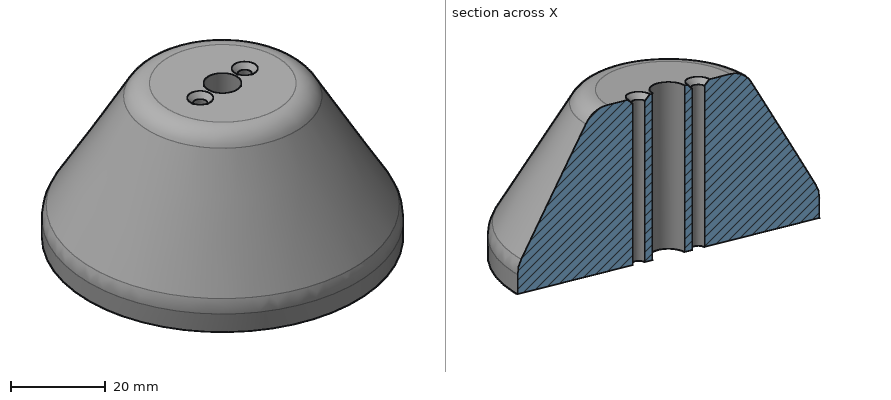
import cadquery as cq

base_diameter = 76.2
base_radius = base_diameter / 2
height = base_diameter / 2
top_radius = base_radius / 2
rim_height = height / 6
edge_fillet = rim_height

center_hole_diameter = 8.0
screw_hole_diameter = 3.0
screw_hole_offset = 7.5
countersink_diameter = 5.5
countersink_angle = 90.0


def make_body():
    """Revolve the rim-and-cone profile, then round both edges of the cone."""
    profile = (
        cq.Workplane("XZ")
        .lineTo(base_radius, 0)
        .lineTo(base_radius, rim_height)
        .lineTo(top_radius, height)
        .lineTo(0, height)
        .close()
    )
    body = profile.revolve(360, (0, 0, 0), (0, 1, 0))
    cone_edges = body.faces("%CONE").edges("%CIRCLE")
    return cone_edges.fillet(edge_fillet)


def cut_center_hole(body):
    """Cut the plain hole through the middle."""
    top_plane = body.faces(">Z").workplane(origin=(0, 0, height))
    return top_plane.hole(center_hole_diameter)


def cut_screw_holes(body):
    """Cut the two countersunk holes, one on each side of the middle along Y."""
    top_plane = body.faces(">Z").workplane(origin=(0, 0, height))
    hole_centers = [(0, side * screw_hole_offset) for side in (-1, 1)]
    return top_plane.pushPoints(hole_centers).cskHole(
        screw_hole_diameter, countersink_diameter, countersink_angle
    )


result = cut_screw_holes(cut_center_hole(make_body()))